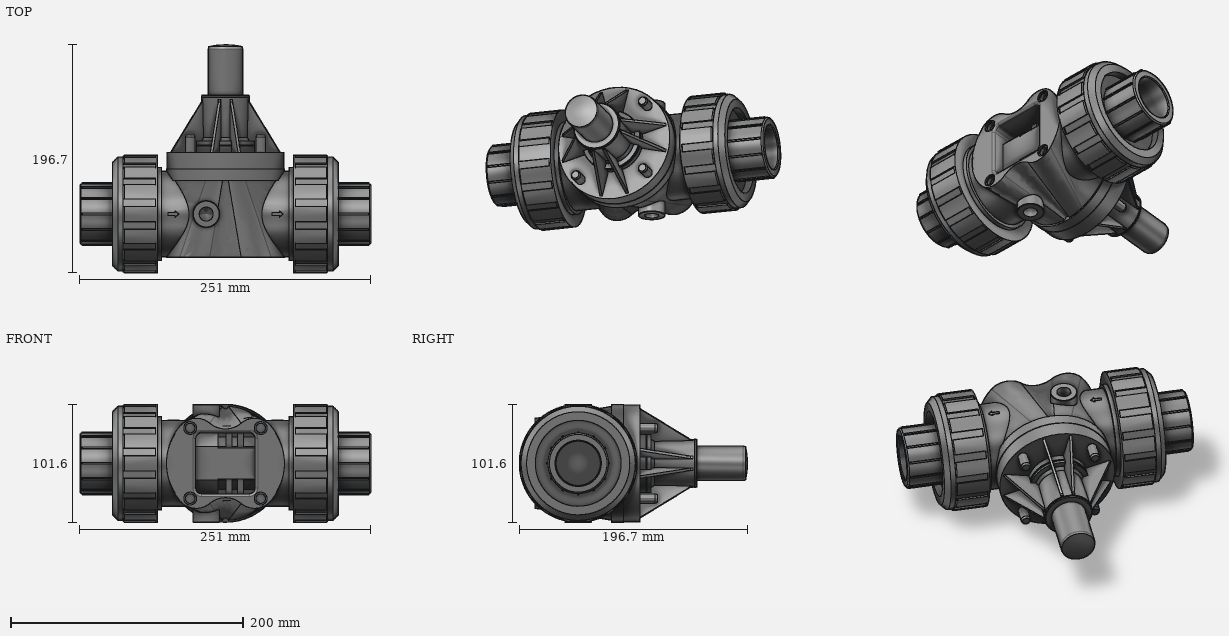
import cadquery as cq
import math


run_half = 125.5
pipe_d = 74.0
shoulder_d = 80.3
shoulder_x = 55.0
nut_inner_x = 58.7
nut_outer_x = 97.4

nut_d = 98.4
nut_grip_d = 101.6
nut_chamfer = 4.8
nut_mouth_d = 74.0
nut_mouth_depth = 6.5
grip_pads = 16
grip_start_x = 88.0
grip_pad_chamfer = 1.0
grip_groove_end_x = 60.2
grip_groove_share = 0.33

tail_d = 52.2
tail_chamfer = 1.3
tail_mouth_d = 40.0
tail_bore_d = 38.1
tail_bore_depth = 65.2
tail_ridges = 12
ridge_width = 1.5
ridge_height = 1.0
ridge_setback = 1.8
ridge_chamfer = 0.5

face_y = -37.5
shell_top_y = 28.9
joint_y = 39.0
bonnet_top_y = 53.2
overall_depth = 196.7

flange_d = 101.6
spindle_top_y = overall_depth - flange_d / 2
shell_d = 98.4
bonnet_d = 101.0
lobe_end_x = 39.5
lobe_peak_x = 27.5
lobe_peak_z = 38.6
valley_end_x = 13.5
valley_end_z = 34.6
valley_z = 29.5
shell_lobe_x = 17.0
shell_valley_x = 2.5
shell_valley_z = 47.0

pocket_width = 51.2
pocket_height = 52.5
pocket_corner_r = 5.0
pocket_rim_r = 2.3
pocket_floor_y = -5.0
core_face_y = -25.3
core_lip_half_height = 13.3
core_half_height = 14.3
core_ramp_y = -17.5
core_root_half_height = 22.5
core_root_y = -10.0
saddle_root_y = -15.0
saddle_end_x = -6.5
pocket_web_width = 5.3
pocket_web_xs = (3.0, 13.0)

bolt_offset = 30.4
bolt_d = 8.3
bolt_tip_d = 6.5
bolt_tip_y = 66.3
bolt_top_y = 68.3
bolt_seat_d = 11.0
bolt_seat_depth = 1.5
bolt_hole_depth = 5.0

port_x = -16.5
port_d = 23.0
port_rim_d = 22.3
port_hole_d = 12.0
port_hole_depth = 12.5
drill_half_angle = 59

pad_d = 52.2
pad_top_y = 62.7
pad_groove_y = 59.0
pad_groove_width = 0.8
pad_groove_depth = 0.8
neck_base_y = 65.7
neck_base_d = 39.7
neck_flare_d = 43.7
neck_d = 41.2
collar_y = 100.5
collar_d = 41.7
collar_top_y = 102.5
collar_chamfer = 0.8
spindle_d = 29.9
spindle_crown_d = 28.9
spindle_edge_y = 142.0
spindle_crown_y = 144.3
gusset_angle = 14.2
gusset_thickness = 2.3
gusset_foot_r = 48.5
gusset_top_r = 21.0
gusset_root_r = 17.5
gusset_shoulder_y = 96.5
gusset_top_y = 98.9

arrow_xs = (-45.0, 45.0)
arrow_half_length = 4.8
arrow_neck_x = 1.5
arrow_half_width = 2.8
arrow_stem_half_width = 1.3
arrow_height = 0.38


def revolve_x(points):
    return cq.Workplane("XY").polyline(points).close().revolve(360, (0, 0), (1, 0))


def revolve_y(points):
    return cq.Workplane("XY").polyline(points).close().revolve(360, (0, 0), (0, 1))


def disc_x(diameter, x_start, x_end):
    return cq.Workplane("YZ", origin=(x_start, 0, 0)).circle(diameter / 2).extrude(x_end - x_start)


def disc_y(diameter, y_start, y_end, x=0, z=0):
    return cq.Workplane("XZ", origin=(x, y_start, z)).circle(diameter / 2).extrude(y_start - y_end)


def block(x_range, y_range, z_range):
    sizes = [b - a for a, b in (x_range, y_range, z_range)]
    corner = (x_range[0], y_range[0], z_range[0])
    return cq.Workplane("XY").box(*sizes, centered=False).translate(corner)


def union_nut():
    """Nut on the +X end: raised grip pads, with grooves that open towards the outer collar."""
    r = nut_d / 2
    nut = revolve_x([
        (nut_inner_x, 0),
        (nut_inner_x, r),
        (nut_outer_x - nut_chamfer, r),
        (nut_outer_x, r - nut_chamfer),
        (nut_outer_x, 0),
    ])
    grip = disc_x(nut_grip_d, nut_inner_x, grip_start_x).faces(">X").chamfer(grip_pad_chamfer)
    pitch = 360 / grip_pads
    groove_width = nut_grip_d / 2 * math.radians(pitch * grip_groove_share)
    groove = block(
        (grip_groove_end_x, grip_start_x),
        (r, nut_grip_d),
        (-groove_width / 2, groove_width / 2),
    )
    for i in range(grip_pads):
        grip = grip.cut(groove.rotate((0, 0, 0), (1, 0, 0), (i + 0.5) * pitch))
    mouth = disc_x(nut_mouth_d, nut_outer_x - nut_mouth_depth, nut_outer_x)
    return nut.union(grip).cut(mouth)


def tail_pipe():
    """Ridged tail pipe on the +X end, before boring."""
    tail = disc_x(tail_d, nut_inner_x, run_half).faces(">X").chamfer(tail_chamfer)
    ridge = (
        block(
            (nut_inner_x, run_half - ridge_setback),
            (0, tail_d / 2 + ridge_height),
            (-ridge_width / 2, ridge_width / 2),
        )
        .faces(">X").edges(">Y").chamfer(ridge_chamfer)
    )
    for i in range(tail_ridges):
        tail = tail.union(ridge.rotate((0, 0, 0), (1, 0, 0), i * 360 / tail_ridges))
    return tail


def tail_bore():
    bore_end = run_half - tail_bore_depth
    mouth_chamfer = (tail_mouth_d - tail_bore_d) / 2
    return revolve_x([
        (bore_end, 0),
        (bore_end, tail_bore_d / 2),
        (run_half - mouth_chamfer, tail_bore_d / 2),
        (run_half, tail_mouth_d / 2),
        (run_half, 0),
    ])


def pipe_end():
    shoulder = disc_x(shoulder_d, shoulder_x, nut_inner_x)
    return union_nut().union(tail_pipe()).union(shoulder).cut(tail_bore())


def closed_outline(y, r, lobe_x, lobe_mid, valley_end, valley_mid_z):
    """Outline at height y: a circular arc on each side, two lobes and a valley above and below."""
    lobe_z = math.sqrt(r**2 - lobe_x**2)
    upper = [(-lobe_x, lobe_z), (-valley_end[0], valley_end[1]), valley_end, (lobe_x, lobe_z)]
    upper_mids = [(-lobe_mid[0], lobe_mid[1]), (0, valley_mid_z), lobe_mid]
    points = upper + [(x, -z) for x, z in reversed(upper)]
    mids = upper_mids + [(r, 0)] + [(x, -z) for x, z in reversed(upper_mids)] + [(-r, 0)]
    edges = []
    for i, (x, z) in enumerate(points):
        end_x, end_z = points[(i + 1) % len(points)]
        mid_x, mid_z = mids[i]
        start = cq.Vector(x, y, z)
        middle = cq.Vector(mid_x, y, mid_z)
        end = cq.Vector(end_x, y, end_z)
        edges.append(cq.Edge.makeThreePointArc(start, middle, end))
    return cq.Wire.assembleEdges(edges)


def body_shell():
    """Ruled shell from the lobed front face up to a nearly round outline under the flange."""
    r = shell_d / 2
    lobe_mid_x = (shell_lobe_x + shell_valley_x) / 2
    face = closed_outline(
        face_y,
        flange_d / 2,
        lobe_end_x,
        (lobe_peak_x, lobe_peak_z),
        (valley_end_x, valley_end_z),
        valley_z,
    )
    top = closed_outline(
        shell_top_y,
        r,
        shell_lobe_x,
        (lobe_mid_x, math.sqrt(r**2 - lobe_mid_x**2)),
        (shell_valley_x, math.sqrt(r**2 - shell_valley_x**2)),
        shell_valley_z,
    )
    return cq.Workplane(cq.Solid.makeLoft([face, top], True))


def pocket_ramp(x_end, front_y, root_half_height, root_y):
    """Prism from the left pocket wall to x_end whose upper and lower faces slope out to the root."""
    half_w = pocket_width / 2
    return (
        cq.Workplane("YZ", origin=(-half_w, 0, 0))
        .polyline([
            (front_y, -core_half_height),
            (front_y, core_half_height),
            (root_y, root_half_height),
            (pocket_floor_y, root_half_height),
            (pocket_floor_y, -root_half_height),
            (root_y, -root_half_height),
        ])
        .close()
        .extrude(x_end + half_w)
    )


def pocket():
    """Material removed from the front face, around the core, lip, saddle and webs that stay."""
    half_w = pocket_width / 2
    half_h = pocket_height / 2
    depth = pocket_floor_y - face_y
    cavity = (
        cq.Workplane("XZ", origin=(0, pocket_floor_y, 0))
        .rect(pocket_width, pocket_height)
        .extrude(depth)
        .edges("|Y").fillet(pocket_corner_r)
    )
    core = pocket_ramp(half_w, core_ramp_y, core_root_half_height, core_root_y)
    saddle = pocket_ramp(saddle_end_x, core_face_y, half_h, saddle_root_y)
    lip = block(
        (-half_w, half_w),
        (core_face_y, core_ramp_y),
        (-core_lip_half_height, core_lip_half_height),
    )
    cavity = cavity.cut(core).cut(saddle).cut(lip)
    for x in pocket_web_xs:
        web = block(
            (x - pocket_web_width / 2, x + pocket_web_width / 2),
            (core_ramp_y, pocket_floor_y),
            (-half_h, half_h),
        )
        cavity = cavity.cut(web)
    return cavity


def round_pocket_rim(body):
    """Round the pocket opening, picked by its box around the front face."""
    margin = pocket_rim_r / 2
    half_w = pocket_width / 2 + margin
    half_h = pocket_height / 2 + margin
    selector = cq.selectors.BoxSelector(
        (-half_w, face_y - margin, -half_h),
        (half_w, face_y + margin, half_h),
        boundingbox=True,
    )
    return body.edges(selector).fillet(pocket_rim_r)


def port_boss():
    boss = cq.Workplane("XY").center(port_x, 0).circle(port_d / 2).extrude(flange_d / 2)
    return boss.faces(">Z").chamfer((port_d - port_rim_d) / 2)


def port_hole():
    """Blind drilled hole in the upper port, with a conical bottom."""
    r = port_hole_d / 2
    top_z = flange_d / 2
    bottom_z = top_z - port_hole_depth
    tip_z = bottom_z - r / math.tan(math.radians(drill_half_angle))
    return (
        cq.Workplane("XZ", origin=(port_x, 0, 0))
        .polyline([(0, top_z), (r, top_z), (r, bottom_z), (0, tip_z)])
        .close()
        .revolve(360, (0, 0), (0, 1))
    )


def flow_arrow(x):
    """Thin raised arrow that points towards +X on top of the pipe."""
    return (
        cq.Workplane("XY", origin=(x, 0, 0))
        .polyline([
            (-arrow_half_length, -arrow_stem_half_width),
            (arrow_neck_x, -arrow_stem_half_width),
            (arrow_neck_x, -arrow_half_width),
            (arrow_half_length, 0),
            (arrow_neck_x, arrow_half_width),
            (arrow_neck_x, arrow_stem_half_width),
            (-arrow_half_length, arrow_stem_half_width),
        ])
        .close()
        .extrude(pipe_d / 2 + arrow_height)
    )


def spindle_housing():
    housing = revolve_y([
        (0, bonnet_top_y),
        (pad_d / 2, bonnet_top_y),
        (pad_d / 2, pad_top_y),
        (neck_flare_d / 2, pad_top_y),
        (neck_base_d / 2, neck_base_y),
        (neck_d / 2, collar_y),
        (collar_d / 2, collar_y),
        (collar_d / 2, collar_top_y - collar_chamfer),
        (collar_d / 2 - collar_chamfer, collar_top_y),
        (0, collar_top_y),
    ])
    groove_start = pad_groove_y - pad_groove_width / 2
    groove_end = pad_groove_y + pad_groove_width / 2
    groove = disc_y(pad_d, groove_start, groove_end)
    groove = groove.cut(disc_y(pad_d - 2 * pad_groove_depth, groove_start, groove_end))
    return housing.cut(groove)


def spindle():
    """Round post with a bevelled edge and a shallow domed crown."""
    crown_r = spindle_crown_d / 2
    crown_rise = spindle_top_y - spindle_crown_y
    dome_r = (crown_r**2 + crown_rise**2) / (2 * crown_rise)
    half_angle = math.asin(crown_r / dome_r) / 2
    dome_mid_x = dome_r * math.sin(half_angle)
    dome_mid_y = spindle_top_y - dome_r * (1 - math.cos(half_angle))
    return (
        cq.Workplane("XY")
        .moveTo(0, bonnet_top_y)
        .lineTo(spindle_d / 2, bonnet_top_y)
        .lineTo(spindle_d / 2, spindle_edge_y)
        .lineTo(crown_r, spindle_crown_y)
        .threePointArc((dome_mid_x, dome_mid_y), (0, spindle_top_y))
        .close()
        .revolve(360, (0, 0), (0, 1))
    )


def gussets():
    """Four pairs of radial plates between the bonnet and the spindle housing."""
    plate = (
        cq.Workplane("XY", origin=(0, 0, -gusset_thickness / 2))
        .polyline([
            (gusset_root_r, joint_y),
            (gusset_foot_r, joint_y),
            (gusset_foot_r, bonnet_top_y),
            (gusset_top_r, gusset_shoulder_y),
            (gusset_top_r, gusset_top_y),
            (gusset_root_r, gusset_top_y),
        ])
        .close()
        .extrude(gusset_thickness)
    )
    plates = cq.Workplane("XY")
    for quarter in range(4):
        for side in (-1, 1):
            angle = quarter * 90 + side * gusset_angle
            plates = plates.add(plate.rotate((0, 0, 0), (0, 1, 0), angle))
    return plates.combine()


def bolt_stud(x, z):
    stud = revolve_y([
        (0, joint_y),
        (bolt_d / 2, joint_y),
        (bolt_d / 2, bolt_tip_y),
        (bolt_tip_d / 2, bolt_top_y),
        (0, bolt_top_y),
    ])
    return stud.translate((x, 0, z))


def bolt_hole(x, z):
    seat = disc_y(bolt_seat_d, face_y, face_y + bolt_seat_depth, x, z)
    hole = disc_y(bolt_d, face_y, face_y + bolt_hole_depth, x, z)
    return seat.union(hole)


result = body_shell().union(disc_x(pipe_d, -nut_inner_x, nut_inner_x))
result = result.union(port_boss()).cut(port_hole())
result = result.union(port_boss().mirror("XY")).cut(port_hole().mirror("XY"))
result = result.cut(pocket())
result = round_pocket_rim(result)

result = result.union(disc_y(flange_d, shell_top_y, joint_y))
result = result.union(disc_y(bonnet_d, joint_y, bonnet_top_y))
result = result.union(spindle_housing()).union(spindle()).union(gussets())

for arrow_x in arrow_xs:
    result = result.union(flow_arrow(arrow_x))

for x in (-bolt_offset, bolt_offset):
    for z in (-bolt_offset, bolt_offset):
        result = result.union(bolt_stud(x, z)).cut(bolt_hole(x, z))

result = result.union(pipe_end()).union(pipe_end().mirror("YZ"))